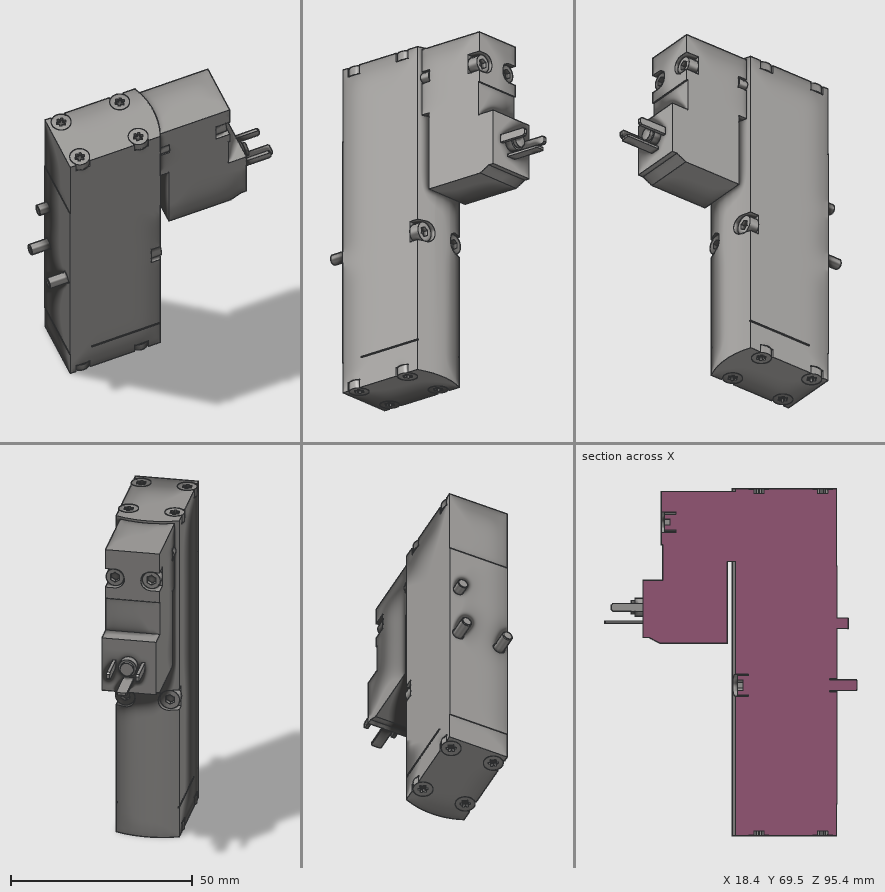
import cadquery as cq
import math

BODY_WIDTH = 17.7
BODY_HEIGHT = 95.4
SIDE_DEPTH = 27.1
CROWN_DEPTH = 28.9
BOTTOM_CAP_HEIGHT = 8.8
TOP_CAP_BASE = 74.1
CAP_SETBACK = 0.15
JOINT_GAP = 0.25
JOINT_GAP_DEPTH = 0.3
FRONT_PLATE_DEPTH = 6.6

HOUSING_WIDTH = 15.2
HOUSING_TOP = 94.7
HOUSING_BOTTOM = 52.9
HOUSING_BACK = 48.4
HOUSING_WAIST_BACK = 48.0
WAIST_TOP = 80.0
HOUSING_GAP_Y = 30.2
FOOT_BOTTOM = 75.4
CONNECTOR_FACE = 53.4
CONNECTOR_TOP = 70.3
CONNECTOR_BOTTOM = 54.5
BEVEL_START = 51.8
BEVEL_END = 48.7

COVER_HEAD_DIAMETER = 5.5
COVER_HEAD_HEIGHT = 2.5
COVER_HEAD_SINK = 0.1
COVER_SCREW_X = 6.45
COVER_SCREW_YS = (4.0, 21.5)
COVER_NOTCH_WIDTH = 4.2
LOBE_COUNT = 6
FIRST_LOBE_ANGLE = 90
LOBE_DIAMETER = 0.7
LOBE_TIP_DIAMETER = 2.8
LOBE_CORE_DIAMETER = 1.8
LOBE_SOCKET_DEPTH = 1.2

SCREW_X = 6.25
SCREW_Z = 41.4
SCREW_DIAMETER = 3.0
SCREW_REACH = 5.5
SCREW_TIP_CHAMFER = 0.25
CLEARANCE_DIAMETER = 3.5
CLEARANCE_DEPTH = 2.0
MOUNT_HEAD_DIAMETER = 5.5
MOUNT_BORE_DIAMETER = 6.0
MOUNT_BORE_FLOOR = 24.4
MOUNT_HEAD_HEIGHT = 3.0
HEX_SIDES = 6
HEX_SOCKET_SIZE = 2.5
HEX_SOCKET_DEPTH = 1.5
PIN_Z = 58.4
PIN_DIAMETER = 3.0
PIN_REACH = 3.1
PIN_TIP_CHAMFER = 0.15

HOUSING_SCREW_X = 5.1
HOUSING_SCREW_Z = 86.2
HOUSING_HEAD_DIAMETER = 5.0
HOUSING_BORE_DIAMETER = 5.6
HOUSING_BORE_FLOOR = 44.3
HOUSING_HEAD_HEIGHT = 3.2
STUD_X = 6.25
STUD_Z = 86.4
STUD_DIAMETER = 3.5
STUD_END_Y = 30.3

CONNECTOR_Z = 62.8
COLLAR_DIAMETER = 5.0
COLLAR_LENGTH = 2.2
NECK_DIAMETER = 3.8
NECK_END = 3.2
SIDE_BLADE_X = 4.1
SIDE_BLADE_SIZE = (0.9, 2.2)
SIDE_BLADE_LENGTH = 8.7
SIDE_BLADE_CHAMFER = 0.5
EARTH_BLADE_Z = 58.75
EARTH_BLADE_SIZE = (2.95, 0.7)
EARTH_BLADE_LENGTH = 10.6
EARTH_BLADE_CHAMFER = 0.35

HALF_BODY = BODY_WIDTH / 2
HALF_HOUSING = HOUSING_WIDTH / 2
SIDES = (-1, 1)
CUT_MARGIN = 1.0


def cylinder_y(x, z, diameter, y_start, y_end):
    """Cylinder along Y between two depths."""
    direction = cq.Vector(0, 1, 0)
    start = cq.Vector(x, y_start, z)
    return cq.Workplane(cq.Solid.makeCylinder(diameter / 2, y_end - y_start, start, direction))


def block(x_range, y_range, z_range):
    """Box given by its limits along each axis."""
    size = [max(r) - min(r) for r in (x_range, y_range, z_range)]
    corner = [min(r) for r in (x_range, y_range, z_range)]
    return cq.Workplane("XY").box(*size, centered=False).translate(tuple(corner))


def open_bore_y(side, x, wall_x, z, diameter, y_start, y_end):
    """Bore along Y whose full width is open through the nearby side wall."""
    bore = cylinder_y(side * x, z, diameter, y_start, y_end)
    z_range = (z - diameter / 2, z + diameter / 2)
    slot = block((side * x, side * (wall_x + CUT_MARGIN)), (y_start, y_end), z_range)
    return bore.union(slot)


def make_body():
    body = (
        cq.Workplane("XY")
        .moveTo(-HALF_BODY, 0)
        .lineTo(HALF_BODY, 0)
        .lineTo(HALF_BODY, SIDE_DEPTH)
        .threePointArc((0, CROWN_DEPTH), (-HALF_BODY, SIDE_DEPTH))
        .close()
        .extrude(BODY_HEIGHT)
    )
    full_width = (-HALF_BODY, HALF_BODY)
    for z_range in ((0, BOTTOM_CAP_HEIGHT), (TOP_CAP_BASE, BODY_HEIGHT)):
        body = body.cut(block(full_width, (0, CAP_SETBACK), z_range))
    for side in SIDES:
        slit = block(
            (side * HALF_BODY, side * (HALF_BODY - JOINT_GAP_DEPTH)),
            (FRONT_PLATE_DEPTH, CROWN_DEPTH),
            (BOTTOM_CAP_HEIGHT, BOTTOM_CAP_HEIGHT + JOINT_GAP),
        )
        body = body.cut(slit)
    return body


def make_housing():
    foot_y = SIDE_DEPTH
    outline = [
        (foot_y, HOUSING_TOP),
        (HOUSING_BACK, HOUSING_TOP),
        (HOUSING_BACK, WAIST_TOP),
        (HOUSING_WAIST_BACK, WAIST_TOP),
        (HOUSING_WAIST_BACK, CONNECTOR_TOP),
        (CONNECTOR_FACE, CONNECTOR_TOP),
        (CONNECTOR_FACE, CONNECTOR_BOTTOM),
        (BEVEL_START, CONNECTOR_BOTTOM),
        (BEVEL_END, HOUSING_BOTTOM),
        (HOUSING_GAP_Y, HOUSING_BOTTOM),
        (HOUSING_GAP_Y, FOOT_BOTTOM),
        (foot_y, FOOT_BOTTOM),
    ]
    return cq.Workplane("YZ").polyline(outline).close().extrude(HALF_HOUSING, both=True)


def lobed_socket():
    """Six-lobed drive recess, sunk down from z = 0."""
    socket = cq.Workplane("XY").circle(LOBE_CORE_DIAMETER / 2).extrude(-LOBE_SOCKET_DEPTH)
    lobe_radius = (LOBE_TIP_DIAMETER - LOBE_DIAMETER) / 2
    lobes = (
        cq.Workplane("XY")
        .polarArray(lobe_radius, FIRST_LOBE_ANGLE, 360, LOBE_COUNT)
        .circle(LOBE_DIAMETER / 2)
        .extrude(-LOBE_SOCKET_DEPTH)
    )
    return socket.union(lobes)


def add_cover_screws(part):
    """Sunk screws in the top face, mirrored into the bottom face."""
    head = (
        cq.Workplane("XY")
        .circle(COVER_HEAD_DIAMETER / 2)
        .extrude(-COVER_HEAD_HEIGHT)
        .cut(lobed_socket())
    )
    bore = cq.Workplane("XY").circle(COVER_HEAD_DIAMETER / 2).extrude(-COVER_HEAD_HEIGHT)
    head_radius = COVER_HEAD_DIAMETER / 2
    notch_x = COVER_SCREW_X + math.sqrt(head_radius**2 - (COVER_NOTCH_WIDTH / 2) ** 2)
    half_notch = COVER_NOTCH_WIDTH / 2
    for side in SIDES:
        for y in COVER_SCREW_YS:
            notch = block(
                (side * notch_x, side * (HALF_BODY + CUT_MARGIN)),
                (y - half_notch, y + half_notch),
                (BODY_HEIGHT - COVER_HEAD_HEIGHT, BODY_HEIGHT),
            )
            place = (side * COVER_SCREW_X, y, BODY_HEIGHT)
            pocket = bore.translate(place).union(notch)
            screw = head.translate(place).translate((0, 0, -COVER_HEAD_SINK))
            for cutter, insert in ((pocket, screw), (flip(pocket), flip(screw))):
                part = part.cut(cutter).union(insert)
    return part


def flip(shape):
    """Mirror about the middle height of the body."""
    return shape.mirror("XY", (0, 0, BODY_HEIGHT / 2))


def socket_head(x, z, diameter, y_start, height):
    """Screw head along Y with a hexagon socket in its back face."""
    y_end = y_start + height
    socket = (
        cq.Workplane("XZ", origin=(x, y_end, z))
        .polygon(HEX_SIDES, HEX_SOCKET_SIZE, circumscribed=True)
        .extrude(HEX_SOCKET_DEPTH)
    )
    return cylinder_y(x, z, diameter, y_start, y_end).cut(socket)


def add_mounting_screws(part):
    for side in SIDES:
        x = side * SCREW_X
        bore = open_bore_y(
            side, SCREW_X, HALF_BODY, SCREW_Z, MOUNT_BORE_DIAMETER, MOUNT_BORE_FLOOR, CROWN_DEPTH
        )
        head = socket_head(x, SCREW_Z, MOUNT_HEAD_DIAMETER, MOUNT_BORE_FLOOR, MOUNT_HEAD_HEIGHT)
        clearance = cylinder_y(x, SCREW_Z, CLEARANCE_DIAMETER, 0, CLEARANCE_DEPTH)
        shank = cylinder_y(x, SCREW_Z, SCREW_DIAMETER, -SCREW_REACH, MOUNT_BORE_FLOOR)
        shank = shank.faces("<Y").chamfer(SCREW_TIP_CHAMFER)
        part = part.cut(bore).cut(clearance).union(head).union(shank)
    return part


def add_locating_pin(part):
    pin = cylinder_y(-SCREW_X, PIN_Z, PIN_DIAMETER, -PIN_REACH, SIDE_DEPTH / 2)
    return part.union(pin.faces("<Y").chamfer(PIN_TIP_CHAMFER))


def add_housing_screws(housing):
    for side in SIDES:
        bore = open_bore_y(
            side,
            HOUSING_SCREW_X,
            HALF_HOUSING,
            HOUSING_SCREW_Z,
            HOUSING_BORE_DIAMETER,
            HOUSING_BORE_FLOOR,
            HOUSING_BACK,
        )
        head = socket_head(
            side * HOUSING_SCREW_X,
            HOUSING_SCREW_Z,
            HOUSING_HEAD_DIAMETER,
            HOUSING_BORE_FLOOR,
            HOUSING_HEAD_HEIGHT,
        )
        stud_slot = open_bore_y(
            side, STUD_X, HALF_HOUSING, STUD_Z, STUD_DIAMETER, SIDE_DEPTH, STUD_END_Y
        )
        stud = cylinder_y(side * STUD_X, STUD_Z, STUD_DIAMETER, SIDE_DEPTH, STUD_END_Y)
        housing = housing.cut(bore).cut(stud_slot).union(head).union(stud)
    return housing


def blade(x, z, size, length):
    """Flat contact that stands out of the connector face."""
    width, height = size
    return block(
        (x - width / 2, x + width / 2),
        (CONNECTOR_FACE, CONNECTOR_FACE + length),
        (z - height / 2, z + height / 2),
    )


def add_connector(part):
    collar = cylinder_y(0, CONNECTOR_Z, COLLAR_DIAMETER, CONNECTOR_FACE, CONNECTOR_FACE + COLLAR_LENGTH)
    neck = cylinder_y(0, CONNECTOR_Z, NECK_DIAMETER, CONNECTOR_FACE, CONNECTOR_FACE + NECK_END)
    part = part.union(collar).union(neck)
    for side in SIDES:
        contact = blade(side * SIDE_BLADE_X, CONNECTOR_Z, SIDE_BLADE_SIZE, SIDE_BLADE_LENGTH)
        contact = contact.faces(">Y").edges("|X").chamfer(SIDE_BLADE_CHAMFER)
        part = part.union(contact)
    earth = blade(0, EARTH_BLADE_Z, EARTH_BLADE_SIZE, EARTH_BLADE_LENGTH)
    earth = earth.faces(">Y").edges("|Z").chamfer(EARTH_BLADE_CHAMFER)
    return part.union(earth)


result = make_body().union(add_housing_screws(make_housing()))
result = add_cover_screws(result)
result = add_mounting_screws(result)
result = add_locating_pin(result)
result = add_connector(result)